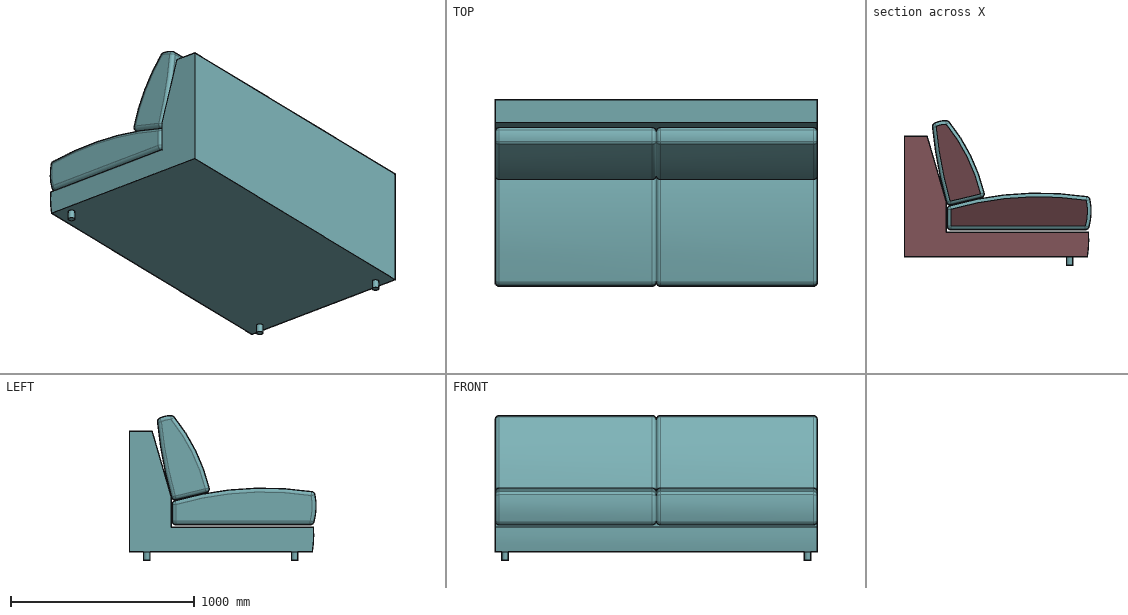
import cadquery as cq
import math

sofa_width = 1759.62
seat_places = 2

leg_diameter = 36.0
leg_height = 47.0
leg_side_inset = 53.5
front_leg_y = -903.0
rear_leg_y = -95.0

frame_front_y = -1000.0
frame_front_bulge = 4.0
frame_front_lean = 6.0
platform_z = 181.5
backrest_top_z = 706.0
backrest_top_depth = 125.0
backrest_foot_depth = 230.0
backrest_foot_z = 345.0

cushion_width = sofa_width / seat_places
cushion_radius = 22.0

seat_rear_y = -233.5
seat_bottom_z = 194.0
seat_rear_top_z = 322.0
seat_front_bottom_y = -1004.0
seat_front_top_y = -1011.0
seat_front_top_z = 374.0
seat_crown = 44.0
seat_front_bulge = 12.87

back_rear_bottom = (-236.0, 326.0)
back_front_bottom = (-441.0, 375.0)
back_front_top = (-239.0, 790.67)
back_rear_top = (-152.0, 769.67)
back_front_bulge = 27.5
back_top_bulge = 8.0
back_rear_bulge = 11.0


def bulged_midpoint(start, end, bulge):
    """Middle of an arc that rises by bulge to the left of the chord from start to end."""
    run = end[0] - start[0]
    rise = end[1] - start[1]
    chord = math.hypot(run, rise)
    middle_y = (start[0] + end[0]) / 2 - bulge * rise / chord
    middle_z = (start[1] + end[1]) / 2 + bulge * run / chord
    return (middle_y, middle_z)


def arc_to(sketch, start, end, bulge):
    """Continue a profile from start to end along an arc of the given bulge."""
    return sketch.threePointArc(bulged_midpoint(start, end, bulge), end)


def make_frame():
    """Frame with a platform, a sloping backrest and a slightly bowed front."""
    front_bottom = (frame_front_y, leg_height)
    front_top = (frame_front_y - frame_front_lean, platform_z)
    profile = cq.Workplane("YZ", origin=(-sofa_width / 2, 0, 0)).moveTo(*front_bottom)
    profile = arc_to(profile, front_bottom, front_top, frame_front_bulge)
    profile = (
        profile.lineTo(-backrest_foot_depth, platform_z)
        .lineTo(-backrest_foot_depth, backrest_foot_z)
        .lineTo(-backrest_top_depth, backrest_top_z)
        .lineTo(0, backrest_top_z)
        .lineTo(0, leg_height)
        .close()
    )
    return profile.extrude(sofa_width)


def make_leg(x, y):
    """Round leg standing on the floor under the frame."""
    return cq.Workplane("XY").center(x, y).circle(leg_diameter / 2).extrude(leg_height)


def make_seat_cushion(left_x):
    """Seat cushion with a crowned top and a bulging front, rounded on every edge."""
    front_bottom = (seat_front_bottom_y, seat_bottom_z)
    front_top = (seat_front_top_y, seat_front_top_z)
    rear_top = (seat_rear_y, seat_rear_top_z)
    profile = cq.Workplane("YZ", origin=(left_x, 0, 0)).moveTo(*front_bottom)
    profile = arc_to(profile, front_bottom, front_top, seat_front_bulge)
    profile = arc_to(profile, front_top, rear_top, seat_crown)
    profile = profile.lineTo(seat_rear_y, seat_bottom_z).close()
    return profile.extrude(cushion_width).edges().fillet(cushion_radius)


def make_back_cushion(left_x):
    """Leaning back cushion with bowed front, top and rear, rounded on every edge."""
    profile = cq.Workplane("YZ", origin=(left_x, 0, 0)).moveTo(*back_front_bottom)
    profile = arc_to(profile, back_front_bottom, back_front_top, back_front_bulge)
    profile = arc_to(profile, back_front_top, back_rear_top, back_top_bulge)
    profile = arc_to(profile, back_rear_top, back_rear_bottom, back_rear_bulge)
    profile = profile.close()
    return profile.extrude(cushion_width).edges().fillet(cushion_radius)


frame = make_frame()

leg_x = sofa_width / 2 - leg_side_inset
leg_places = [(-leg_x, front_leg_y), (leg_x, front_leg_y), (-leg_x, rear_leg_y)]
legs = [make_leg(x, y) for x, y in leg_places]

cushion_lefts = [-sofa_width / 2 + place * cushion_width for place in range(seat_places)]
seat_cushions = [make_seat_cushion(left_x) for left_x in cushion_lefts]
back_cushions = [make_back_cushion(left_x) for left_x in cushion_lefts]

bodies = [frame, *legs, *seat_cushions, *back_cushions]
result = cq.Compound.makeCompound([body.val() for body in bodies])